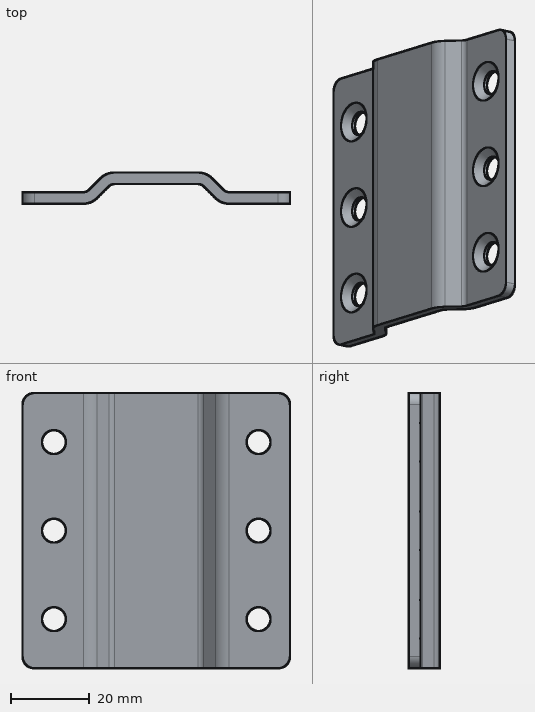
import cadquery as cq
import math

width = 68.0
height = 70.0
depth = 8.0
thickness = 3.0

bend_angle = math.radians(45.0)
inner_radius = 2.0
outer_radius = inner_radius + thickness
centre_flat_half_width = 10.65

corner_radius = 3.0
hole_diameter = 6.0
hole_spacing_x = 52.0
hole_pitch_z = 22.5
holes_per_flange = 3
countersink_diameter = 10.0
countersink_angle = 90.0

half_width = width / 2
offset = depth - thickness
bends_rise = (inner_radius + outer_radius) * (1 - math.cos(bend_angle))
bends_run = (inner_radius + outer_radius) * math.sin(bend_angle)
ramp_run = (offset - bends_rise) / math.tan(bend_angle)
flange_flat_start = centre_flat_half_width + bends_run + ramp_run


def bend_point(x, y, radius, angle, side):
    """Point reached after turning by angle from a flat at (x, y).

    side is +1 for a bend leaving the centre flat (outward and down), and
    -1 for a bend leaving the flange flat (inward and up).
    """
    return (
        x + side * radius * math.sin(angle),
        y - side * radius * (1 - math.cos(angle)),
    )


def half_section():
    """Closed half profile in the XY plane, from the symmetry plane to +X."""
    centre_x = centre_flat_half_width
    flange_x = flange_flat_start
    half_angle = bend_angle / 2

    def centre_bend(y, radius, angle):
        return bend_point(centre_x, y, radius, angle, 1)

    def flange_bend(y, radius, angle):
        return bend_point(flange_x, y, radius, angle, -1)

    return (
        cq.Workplane("XY")
        .moveTo(0, depth)
        .lineTo(centre_x, depth)
        .threePointArc(
            centre_bend(depth, outer_radius, half_angle),
            centre_bend(depth, outer_radius, bend_angle),
        )
        .lineTo(*flange_bend(thickness, inner_radius, bend_angle))
        .threePointArc(flange_bend(thickness, inner_radius, half_angle), (flange_x, thickness))
        .lineTo(half_width, thickness)
        .lineTo(half_width, 0)
        .lineTo(flange_x, 0)
        .threePointArc(
            flange_bend(0, outer_radius, half_angle),
            flange_bend(0, outer_radius, bend_angle),
        )
        .lineTo(*centre_bend(offset, inner_radius, bend_angle))
        .threePointArc(centre_bend(offset, inner_radius, half_angle), (centre_x, offset))
        .lineTo(0, offset)
        .close()
    )


def bent_plate():
    """Full-height plate, mirrored about the YZ plane, with rounded corners."""
    half = half_section().extrude(height / 2, both=True)
    plate = half.union(half.mirror("YZ")).clean()
    return plate.faces("<X or >X").edges("|Y").fillet(corner_radius)


def drill_mounting_holes(plate):
    """Countersunk through holes, one row along Z in each flange."""
    rear_face = cq.Plane(origin=(0, thickness, 0), xDir=(-1, 0, 0), normal=(0, 1, 0))
    return (
        plate.copyWorkplane(cq.Workplane(rear_face))
        .rarray(hole_spacing_x, hole_pitch_z, 2, holes_per_flange)
        .cskHole(hole_diameter, countersink_diameter, countersink_angle, depth=thickness)
    )


result = drill_mounting_holes(bent_plate())